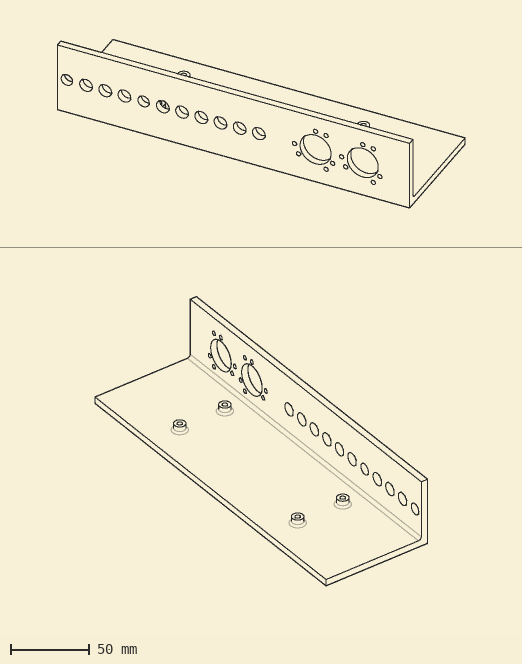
import cadquery as cq
import math

length = 250.0
depth = 80.0
height = 50.0
thickness = 5.0
inner_radius = 2.2

row_start = 6.8
row_end = 143.0
row_count = 11
row_pitch = (row_end - row_start) / (row_count - 1)
row_diameter = 9.0
narrow_diameter = 8.0
narrow_positions = (0, 4)

opening_diameter = 22.0
first_opening_x = 183.2
opening_pitch = 33.5
screw_diameter = 3.0
outer_screw_radius = 15.0
outer_screw_start_angle = 60
inner_screw_radius = 14.0
inner_screw_start_angle = 90
screws_per_ring = 3

standoff_columns = 2
standoff_rows = 2
standoff_diameter = 8.0
standoff_height = 5.0
standoff_foot_radius = 1.5
standoff_bore = 3.5
standoff_first_x = 61.2
standoff_first_y = 22.2
standoff_spacing_x = 127.5
standoff_spacing_y = 35.5

hole_axis_z = height / 2


def angle_bracket():
    profile = (
        cq.Workplane("YZ")
        .moveTo(0, 0)
        .lineTo(depth, 0)
        .lineTo(depth, thickness)
        .lineTo(thickness + inner_radius, thickness)
        .radiusArc((thickness, thickness + inner_radius), inner_radius)
        .lineTo(thickness, height)
        .lineTo(0, height)
        .close()
    )
    return profile.extrude(length)


def panel_cutters(centers, diameter):
    """Cylinders along Y that pass through the front panel only."""
    return (
        cq.Workplane("XZ")
        .pushPoints(centers)
        .circle(diameter / 2)
        .extrude(-thickness)
    )


def ring_points(center_x, radius, start_angle):
    points = []
    for index in range(screws_per_ring):
        angle = math.radians(start_angle + index * 360 / screws_per_ring)
        points.append((center_x + radius * math.cos(angle), hole_axis_z + radius * math.sin(angle)))
    return points


def standoff(x, y):
    """Bored post with a concave flared foot, standing on the base plate."""
    bore_radius = standoff_bore / 2
    post_radius = standoff_diameter / 2
    foot_top = thickness + standoff_foot_radius
    top = thickness + standoff_height
    return (
        cq.Workplane("XZ")
        .moveTo(bore_radius, thickness)
        .lineTo(post_radius + standoff_foot_radius, thickness)
        .radiusArc((post_radius, foot_top), standoff_foot_radius)
        .lineTo(post_radius, top)
        .lineTo(bore_radius, top)
        .close()
        .revolve(360, (0, 0, 0), (0, 1, 0))
        .translate((x, y, 0))
    )


result = angle_bracket()

for column in range(standoff_columns):
    for row in range(standoff_rows):
        x = standoff_first_x + column * standoff_spacing_x
        y = standoff_first_y + row * standoff_spacing_y
        result = result.union(standoff(x, y))

for position in range(row_count):
    diameter = narrow_diameter if position in narrow_positions else row_diameter
    center = (row_start + position * row_pitch, hole_axis_z)
    result = result.cut(panel_cutters([center], diameter))

for opening_x in (first_opening_x, first_opening_x + opening_pitch):
    screws = ring_points(opening_x, outer_screw_radius, outer_screw_start_angle)
    screws += ring_points(opening_x, inner_screw_radius, inner_screw_start_angle)
    result = result.cut(panel_cutters([(opening_x, hole_axis_z)], opening_diameter))
    result = result.cut(panel_cutters(screws, screw_diameter))